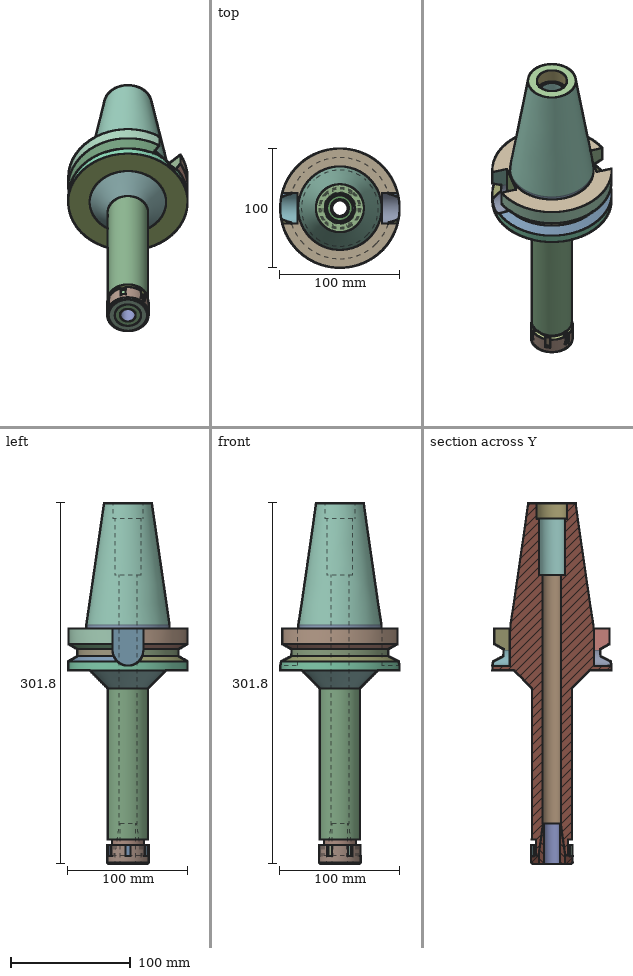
import cadquery as cq
import math


gauge_radius = 69.85 / 2
taper_length = 101.8
taper_ratio = 7 / 24
taper_top_radius = gauge_radius - taper_length * taper_ratio / 2

flange_radius = 50.0
flange_top = -3.0
flange_bottom = -38.0
groove_radius = 42.5
groove_top = -16.0
groove_bottom = -30.5
groove_side_slope = 30.0
groove_side_height = (flange_radius - groove_radius) * math.tan(math.radians(groove_side_slope))

slot_width = 25.7
slot_floor_x = 35.4
slot_end = -34.1

cone_radius = 32.0
cone_bottom = -53.0
nose_radius = 17.0
nose_end = -200.0
nut_height = 16.0
nut_gap = 4.5
nut_top = nose_end + nut_height
body_bottom = nut_top + nut_gap
neck_radius = 13.5
nut_floor = 7.0
neck_end = nose_end + nut_floor

mouth_radius = 12.5
mouth_depth = 13.0
thread_radius = 10.75
thread_depth = 60.0
through_radius = 7.5

collet_bore_radius = 6.5
collet_front_radius = 11.0
collet_length = 34.0
collet_half_angle = 8.0
collet_top = nose_end + collet_length
collet_cone_height = collet_top - neck_end
collet_back_radius = collet_front_radius - collet_cone_height * math.tan(math.radians(collet_half_angle))

nut_radius = 17.5
nut_chamfer = 1.4
wrench_slot_count = 6
wrench_slot_width = 4.5
wrench_slot_depth = 2.5
wrench_slot_height = 9.4


def revolve(points):
    """Turn a closed (radius, height) outline around the Z axis."""
    return cq.Workplane("YZ").polyline(points).close().revolve(360, (0, 0), (0, 1))


def make_drive_slots():
    """Round-ended slots, open at the flange top, on the +X and -X sides."""
    end_center = slot_end + slot_width / 2
    reach = flange_radius - slot_floor_x
    height = flange_top - end_center
    slot = (
        cq.Workplane("YZ", origin=(slot_floor_x, 0, end_center))
        .moveTo(-slot_width / 2, height)
        .lineTo(-slot_width / 2, 0)
        .threePointArc((0, -slot_width / 2), (slot_width / 2, 0))
        .lineTo(slot_width / 2, height)
        .close()
        .extrude(reach)
    )
    return slot, slot.mirror("YZ")


def make_holder():
    holder = revolve([
        (through_radius, taper_length - thread_depth),
        (thread_radius, taper_length - thread_depth),
        (thread_radius, taper_length - mouth_depth),
        (mouth_radius, taper_length - mouth_depth),
        (mouth_radius, taper_length),
        (taper_top_radius, taper_length),
        (gauge_radius, 0),
        (gauge_radius, flange_top),
        (flange_radius, flange_top),
        (flange_radius, groove_top),
        (groove_radius, groove_top - groove_side_height),
        (groove_radius, groove_bottom + groove_side_height),
        (flange_radius, groove_bottom),
        (flange_radius, flange_bottom),
        (cone_radius, flange_bottom),
        (nose_radius, cone_bottom),
        (nose_radius, body_bottom),
        (neck_radius, body_bottom),
        (neck_radius, neck_end),
        (collet_front_radius, neck_end),
        (collet_back_radius, collet_top),
        (through_radius, collet_top),
    ])
    for slot in make_drive_slots():
        holder = holder.cut(slot)
    return holder


def make_collet():
    return revolve([
        (collet_bore_radius, nose_end),
        (collet_front_radius, nose_end),
        (collet_front_radius, neck_end),
        (collet_back_radius, collet_top),
        (collet_bore_radius, collet_top),
    ])


def make_nut():
    """Cap nut that screws over the neck, with wrench slots open at its top."""
    nut = revolve([
        (collet_front_radius, nose_end),
        (nut_radius - nut_chamfer, nose_end),
        (nut_radius, nose_end + nut_chamfer),
        (nut_radius, nut_top),
        (neck_radius, nut_top),
        (neck_radius, neck_end),
        (collet_front_radius, neck_end),
    ])
    for i in range(wrench_slot_count):
        slot = (
            cq.Workplane("XY", origin=(0, 0, nut_top - wrench_slot_height))
            .center(nut_radius, 0)
            .rect(2 * wrench_slot_depth, wrench_slot_width)
            .extrude(wrench_slot_height)
            .rotate((0, 0, 0), (0, 0, 1), i * 360 / wrench_slot_count)
        )
        nut = nut.cut(slot)
    return nut


holder = make_holder()
collet = make_collet()
nut = make_nut()

result = cq.Compound.makeCompound([holder.val(), collet.val(), nut.val()])